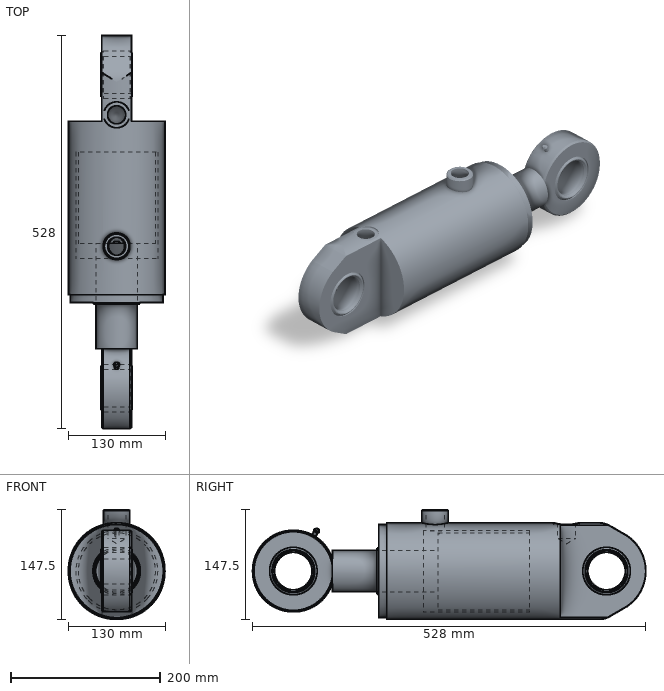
import cadquery as cq
import math


barrel_diameter = 130.0
barrel_front = 125.0
barrel_rear = 358.0
bore_diameter = 110.0
bore_front = 174.0
bore_rear = 316.5
gland_diameter = 125.0
gland_front = 114.5
lip_base_diameter = 64.0
lip_tip_diameter = 59.5
lip_length = 2.5

rod_diameter = 56.0
rod_front = 52.0
piston_diameter = 103.5
piston_front = 193.5

overall_length = 528.0
eye_width = 40.0
rod_eye_diameter = 110.0
rod_eye_chamfer = 2.0
nose_reach = 53.0
flank_radius = 55.0
flank_angle = math.radians(30)
shoulder_radius = 26.5
rear_eye_y = overall_length - rod_eye_diameter / 2 - nose_reach

bushing_outer_diameter = 64.0
bushing_bore = 50.0
bushing_width = 42.0
bushing_outer_chamfer = 3.0
bushing_inner_chamfer = 2.5

port_boss_diameter = 36.0
port_seat_diameter = 35.0
port_hole_diameter = 24.5
drill_half_angle = math.radians(59)
front_port_y = 190.0
front_port_top = 82.5
front_port_chamfer = 1.5
front_drill_tip = 47.5
rear_port_y = 366.5
rear_port_seat = 63.0
rear_drill_tip = 37.0

nipple_tilt = 30.0
nipple_neck_diameter = 6.0
nipple_head_diameter = 8.0
nipple_tip_diameter = 4.0
nipple_root = 47.5
nipple_head_start = 60.0
nipple_head_middle = 62.5
nipple_end = 65.5


def cylinder_along_y(diameter, y_start, y_end):
    """Solid cylinder on the Y axis between two Y positions."""
    disc = cq.Workplane("XZ", origin=(0, y_start, 0)).circle(diameter / 2)
    return disc.extrude(y_start - y_end)


def cylinder_along_x(diameter, width, y):
    """Solid cylinder parallel to X, centred on x = 0 at the given Y."""
    return cq.Workplane("YZ", origin=(-width / 2, y, 0)).circle(diameter / 2).extrude(width)


def cylinder_along_z(diameter, y, z_bottom, z_top):
    """Solid cylinder parallel to Z at the given Y."""
    disc = cq.Workplane("XY", origin=(0, y, z_bottom)).circle(diameter / 2)
    return disc.extrude(z_top - z_bottom)


def drill(y, z_tip, z_top):
    """Port drill with a conical point at z_tip."""
    radius = port_hole_diameter / 2
    z_shoulder = z_tip + radius / math.tan(drill_half_angle)
    profile = (
        cq.Workplane("XZ")
        .moveTo(0, z_tip)
        .lineTo(radius, z_shoulder)
        .lineTo(radius, z_top)
        .lineTo(0, z_top)
        .close()
    )
    return profile.revolve(360, (0, 0, 0), (0, 1, 0)).translate((0, y, 0))


def make_rear_eye():
    """Rear eye plate: rounded nose and straight flanks, trimmed to the barrel diameter."""
    half_height = barrel_diameter / 2
    nose_y = rear_eye_y + flank_radius * math.sin(flank_angle)
    nose_z = flank_radius * math.cos(flank_angle)
    shoulder_y = nose_y - (half_height - nose_z) / math.tan(flank_angle)
    outline = (
        cq.Workplane("YZ")
        .moveTo(bore_rear, -half_height)
        .lineTo(shoulder_y, -half_height)
        .lineTo(nose_y, -nose_z)
        .threePointArc((rear_eye_y + nose_reach, 0), (nose_y, nose_z))
        .lineTo(shoulder_y, half_height)
        .lineTo(bore_rear, half_height)
        .close()
    )
    plate = outline.extrude(eye_width).translate((-eye_width / 2, 0, 0))
    shoulders = cq.selectors.BoxSelector(
        (-eye_width, shoulder_y - shoulder_radius / 10, -barrel_diameter),
        (eye_width, shoulder_y + shoulder_radius / 10, barrel_diameter),
    )
    plate = plate.edges(shoulders).fillet(shoulder_radius)
    envelope = cylinder_along_y(barrel_diameter, bore_rear, overall_length)
    return plate.intersect(envelope)


def make_lip():
    """Tapered wiper lip on the front face of the gland."""
    lip = cq.Workplane("XZ", origin=(0, gland_front, 0)).circle(lip_base_diameter / 2)
    return lip.workplane(offset=lip_length).circle(lip_tip_diameter / 2).loft()


def make_housing():
    """Barrel, gland and rear eye with the bore, rod passage and both ports."""
    housing = cylinder_along_y(barrel_diameter, barrel_front, barrel_rear)
    housing = housing.union(cylinder_along_y(gland_diameter, gland_front, barrel_front))
    housing = housing.union(make_lip())
    housing = housing.union(make_rear_eye())
    boss = cylinder_along_z(port_boss_diameter, front_port_y, bore_diameter / 2, front_port_top)
    housing = housing.union(boss.faces(">Z").chamfer(front_port_chamfer))

    housing = housing.cut(cylinder_along_y(bore_diameter, bore_front, bore_rear))
    housing = housing.cut(cylinder_along_y(rod_diameter, gland_front - lip_length, bore_front))
    housing = housing.cut(cylinder_along_x(bushing_outer_diameter, eye_width, rear_eye_y))
    housing = housing.cut(drill(front_port_y, front_drill_tip, front_port_top))
    seat = cylinder_along_z(port_seat_diameter, rear_port_y, rear_port_seat, barrel_diameter / 2)
    housing = housing.cut(seat)
    return housing.cut(drill(rear_port_y, rear_drill_tip, rear_port_seat))


def make_nipple():
    """Grease nipple: slim neck and a double-tapered head, leaning toward the barrel."""
    profile = (
        cq.Workplane("XZ")
        .moveTo(0, nipple_root)
        .lineTo(nipple_neck_diameter / 2, nipple_root)
        .lineTo(nipple_neck_diameter / 2, nipple_head_start)
        .lineTo(nipple_head_diameter / 2, nipple_head_middle)
        .lineTo(nipple_tip_diameter / 2, nipple_end)
        .lineTo(0, nipple_end)
        .close()
    )
    nipple = profile.revolve(360, (0, 0, 0), (0, 1, 0))
    return nipple.rotate((0, 0, 0), (1, 0, 0), -nipple_tilt)


def make_rod():
    """Piston, rod, rod eye and grease nipple."""
    rod = cylinder_along_y(rod_diameter, rod_front, piston_front)
    rod = rod.union(cylinder_along_y(piston_diameter, piston_front, bore_rear))
    rod = rod.cut(drill(front_port_y, front_drill_tip, front_port_top))
    eye = cylinder_along_x(rod_eye_diameter, eye_width, 0).edges().chamfer(rod_eye_chamfer)
    rod = rod.union(eye).union(make_nipple())
    return rod.cut(cylinder_along_x(bushing_outer_diameter, eye_width, 0))


def make_bushing(y):
    """Plain bushing, chamfered inside and outside at both ends."""
    bushing = cylinder_along_x(bushing_outer_diameter, bushing_width, y)
    bushing = bushing.edges().chamfer(bushing_outer_chamfer)
    hole = cylinder_along_x(bushing_bore, bushing_width, y)
    bushing = bushing.cut(hole)
    return bushing.edges(cq.selectors.RadiusNthSelector(0)).chamfer(bushing_inner_chamfer)


housing = make_housing()
rod = make_rod()
bushings = [make_bushing(y) for y in (0, rear_eye_y)]

result = cq.Compound.makeCompound([housing.val(), rod.val(), *[b.val() for b in bushings]])